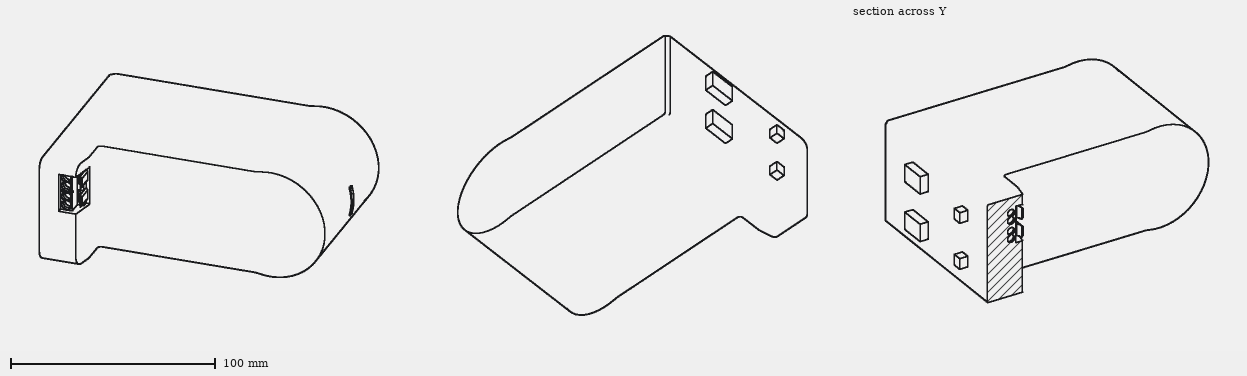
import cadquery as cq
import math


total_length = 144.9
total_width = 101.0
drum_diameter = 57.0
blade_length = 4.6

body_height = 55.2
body_start_y = 25.2
foot_depth = 21.9
foot_end_depth = 19.4
foot_taper_start_y = 11.9
foot_corner_radius = 5.0
inner_corner_radius = 1.9
base_edge_radius = 1.0
back_bevel = 1.7
neck_radius = 13.0

strip_width = 2.6
strip_height = 15.0
strip_thickness = 0.5
strip_center_y = 63.2

large_blade = (66.5, 13.3, 14.2, 9.7)
small_blade = (24.9, 12.9, 5.0, 6.0)

pocket_start_x = 10.6
pocket_bottom_z = 1.6
pocket_top_z = 21.7
pocket_depth = 13.0
cut_clearance = 1.5

entry_face_y = 2.6
entry_end_x = 16.5
lever_seat_y = 9.9
lever_seat_end_x = 19.9
module_gap = 0.6
module_gap_depth = 1.2
entry_hole_x = 13.8
entry_hole_pitch = 4.2
entry_hole_depth = 2.9
entry_hole_diameter = 3.8
entry_hole_rim_diameter = 5.2
module_pitch = 10.1

lever_start_x = 17.2
lever_step_x = 19.0
lever_step_y = 7.8
lever_tip_start_x = 20.0
lever_end_x = 20.9
lever_tip_y = 4.6
lever_height = 6.7
lever_corner = 1.0

half_height = body_height / 2
drum_radius = drum_diameter / 2
drum_x = total_length - blade_length - strip_thickness - drum_radius
terminal_mid_z = (pocket_bottom_z + pocket_top_z) / 2


def box(x_range, y_range, z_range):
    """Box between the given limits along each axis."""
    limits = (x_range, y_range, z_range)
    size = [high - low for low, high in limits]
    corner = tuple(low for low, high in limits)
    return cq.Workplane("XY").box(*size, centered=False).translate(corner)


def make_base_block():
    """L-shaped flat body and foot with a tapered foot side and rounded edges."""
    block = (
        cq.Workplane("XY", origin=(0, 0, -half_height))
        .moveTo(0, 0)
        .lineTo(foot_end_depth, 0)
        .lineTo(foot_depth, foot_taper_start_y)
        .lineTo(foot_depth, body_start_y)
        .lineTo(drum_x, body_start_y)
        .lineTo(drum_x, total_width)
        .lineTo(back_bevel, total_width)
        .lineTo(0, total_width - back_bevel)
        .close()
        .extrude(body_height)
    )
    inner_corner = cq.selectors.NearestToPointSelector((foot_depth, body_start_y, 0))
    block = block.edges("|Z").edges(inner_corner).fillet(inner_corner_radius)
    block = block.faces("<Y").edges("|X").fillet(foot_corner_radius)
    bevel_middle = (back_bevel / 2, total_width - back_bevel / 2, 0)
    bevel = block.faces(cq.selectors.NearestToPointSelector(bevel_middle))
    bevel_edges = bevel.edges("not |Z")
    base_edges = block.faces("<X").edges("not >Y")
    return base_edges.add(bevel_edges).fillet(base_edge_radius)


def make_drum():
    """Round end of the body, with concave necks running into the flat sides."""
    neck_z = half_height + neck_radius
    neck_reach = math.sqrt((drum_radius + neck_radius) ** 2 - neck_z**2)
    neck_x = drum_x - neck_reach
    joint_share = drum_radius / (drum_radius + neck_radius)
    joint_x = drum_x - neck_reach * joint_share
    joint_z = neck_z * joint_share
    half_angle = math.atan2(neck_reach, neck_z) / 2
    middle_x = neck_x + neck_radius * math.sin(half_angle)
    middle_z = neck_z - neck_radius * math.cos(half_angle)
    return (
        cq.Workplane("XZ", origin=(0, total_width, 0))
        .moveTo(neck_x, -half_height)
        .threePointArc((middle_x, -middle_z), (joint_x, -joint_z))
        .threePointArc((drum_x + drum_radius, 0), (joint_x, joint_z))
        .threePointArc((middle_x, middle_z), (neck_x, half_height))
        .close()
        .extrude(total_width - body_start_y)
    )


def make_strip():
    """Thin raised strip following the drum surface at its far side."""
    disc = (
        cq.Workplane("XZ", origin=(drum_x, strip_center_y + strip_width / 2, 0))
        .circle(drum_radius + strip_thickness)
        .extrude(strip_width)
    )
    window = box(
        (drum_x, total_length),
        (0, total_width),
        (-strip_height / 2, strip_height / 2),
    )
    return disc.intersect(window)


def make_blades(center_y, offset_z, width, height):
    """Pair of contact blades, mirrored about the mid-plane."""
    return (
        cq.Workplane("YZ", origin=(-blade_length, 0, 0))
        .pushPoints([(center_y, offset_z), (center_y, -offset_z)])
        .rect(width, height)
        .extrude(blade_length + base_edge_radius)
    )


def make_pocket():
    """Open corner pocket in the foot that holds the terminal block."""
    return box(
        (pocket_start_x, foot_depth + cut_clearance),
        (-cut_clearance, pocket_depth),
        (pocket_bottom_z, pocket_top_z),
    )


def make_lever(center_z):
    """Wedge-shaped release lever with chamfered tip corners."""
    lever = (
        cq.Workplane("XY", origin=(0, 0, center_z - lever_height / 2))
        .moveTo(lever_start_x, lever_seat_y)
        .lineTo(lever_step_x, lever_step_y)
        .lineTo(lever_tip_start_x, lever_tip_y)
        .lineTo(lever_end_x, lever_tip_y)
        .lineTo(lever_end_x, pocket_depth)
        .lineTo(lever_start_x, pocket_depth)
        .close()
        .extrude(lever_height)
    )
    return lever.faces(">X").edges("|Y").chamfer(lever_corner)


def make_terminal_block():
    """Stepped block of two modules, each with two wire entries and a lever."""
    z_range = (pocket_bottom_z, pocket_top_z)
    block = box((pocket_start_x, entry_end_x), (entry_face_y, pocket_depth), z_range)
    block = block.union(box((entry_end_x, lever_seat_end_x), (lever_seat_y, pocket_depth), z_range))

    gap = box(
        (pocket_start_x, entry_end_x),
        (entry_face_y, entry_face_y + module_gap_depth),
        (terminal_mid_z - module_gap / 2, terminal_mid_z + module_gap / 2),
    )
    block = block.cut(gap)

    rim_depth = (entry_hole_rim_diameter - entry_hole_diameter) / 2
    for module_side in (-1, 1):
        module_z = terminal_mid_z + module_side * module_pitch / 2
        for entry_side in (-1, 1):
            entry_z = module_z + entry_side * entry_hole_pitch / 2
            face = cq.Workplane("XZ", origin=(entry_hole_x, entry_face_y, entry_z))
            hole = face.circle(entry_hole_diameter / 2).extrude(-entry_hole_depth)
            rim = (
                face.circle(entry_hole_rim_diameter / 2)
                .workplane(offset=-rim_depth)
                .circle(entry_hole_diameter / 2)
                .loft()
            )
            block = block.cut(hole).cut(rim)
        block = block.union(make_lever(module_z))
    return block


result = make_base_block().union(make_drum()).union(make_strip())
for blade in (large_blade, small_blade):
    result = result.union(make_blades(*blade))
result = result.cut(make_pocket()).union(make_terminal_block())